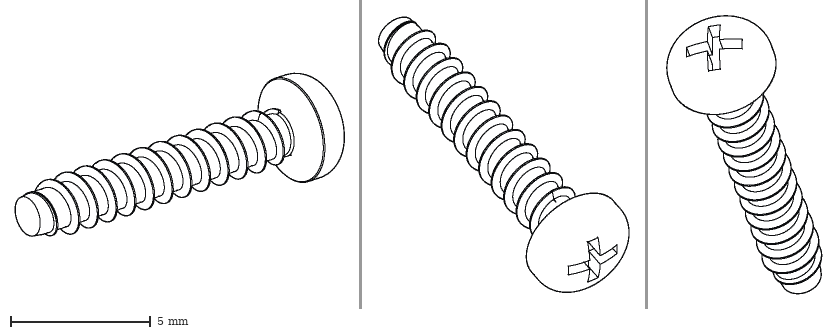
import cadquery as cq
import math


HEAD_RADIUS = 1.95
HEAD_HEIGHT = 1.6
RIM_HEIGHT = 0.54
RIM_CHAMFER = 0.04
CROWN_DROP = 0.39
CROWN_EDGE_RADIUS = 1.59

RECESS_SPAN = 2.05
RECESS_WING_WIDTH = 0.44
RECESS_DEPTH = 0.8

SHANK_LENGTH = 11.975
NECK_RADIUS = 0.85
NECK_FILLET = 0.35
NECK_LENGTH = 0.5
NECK_TAPER_LENGTH = 0.1
CORE_RADIUS = 0.785
TIP_RADIUS = 0.735
TIP_TAPER_LENGTH = 0.4
TIP_DISH_DEPTH = 0.05

PITCH = 0.85
CREST_RADIUS = 1.095
CREST_HALF_WIDTH = 0.03
FLANK_HALF_WIDTH = 0.14
FOOT_REACH = 0.27
FOOT_RISE = 0.03
ROOT_SINK = 0.02

THREAD_START_ANGLE = 90.0
RUN_IN_TURNS = 1.0
RUN_IN_DROP = 0.16
FULL_TURNS = 10.85
RUN_OUT_TURNS = 1.4
RUN_OUT_DROP = 0.33


def screw_body():
    """Revolved body: dished tip, core, neck, underhead fillet and domed head."""
    crown_sphere_radius = (CROWN_EDGE_RADIUS**2 + CROWN_DROP**2) / (2 * CROWN_DROP)
    mid_radius = CROWN_EDGE_RADIUS / 2
    mid_drop = crown_sphere_radius - math.sqrt(crown_sphere_radius**2 - mid_radius**2)
    profile = (
        cq.Workplane("XY")
        .moveTo(0, TIP_DISH_DEPTH - SHANK_LENGTH)
        .lineTo(TIP_RADIUS, -SHANK_LENGTH)
        .lineTo(CORE_RADIUS, TIP_TAPER_LENGTH - SHANK_LENGTH)
        .lineTo(CORE_RADIUS, -NECK_LENGTH - NECK_TAPER_LENGTH)
        .lineTo(NECK_RADIUS, -NECK_LENGTH)
        .lineTo(NECK_RADIUS, -NECK_FILLET)
        .radiusArc((NECK_RADIUS + NECK_FILLET, 0), NECK_FILLET)
        .lineTo(HEAD_RADIUS - RIM_CHAMFER, 0)
        .lineTo(HEAD_RADIUS, RIM_CHAMFER)
        .lineTo(HEAD_RADIUS, RIM_HEIGHT)
        .tangentArcPoint((CROWN_EDGE_RADIUS, HEAD_HEIGHT - CROWN_DROP), relative=False)
        .threePointArc((mid_radius, HEAD_HEIGHT - mid_drop), (0, HEAD_HEIGHT))
        .close()
    )
    return profile.revolve(360, (0, 0, 0), (0, 1, 0))


def cross_recess():
    """Cross-shaped driver recess sunk from the top of the head."""
    wing = cq.Workplane("XY").box(RECESS_SPAN, RECESS_DEPTH, RECESS_WING_WIDTH)
    cross = wing.union(wing.rotate((0, 0, 0), (0, 1, 0), 90))
    return cross.translate((0, HEAD_HEIGHT - RECESS_DEPTH / 2, 0))


def thread_section(first_turn, turns, drop_at_start, drop_at_end):
    """Helical ridge whose crest moves evenly from one drop to the other.

    It begins first_turn turns after the thread start. The ridge is built
    climbing +Z and is then laid along the screw axis, pointing to the tip.
    """
    length = turns * PITCH
    lean = math.atan2(drop_at_start - drop_at_end, length)
    crest = CREST_RADIUS - drop_at_start
    core = CORE_RADIUS - drop_at_start
    root = core - ROOT_SINK
    foot_slope = (FOOT_REACH - FLANK_HALF_WIDTH) / FOOT_RISE
    flank_slope = (FLANK_HALF_WIDTH - CREST_HALF_WIDTH) / (CREST_RADIUS - CORE_RADIUS)

    slant = 1 / math.cos(lean)
    cone_angle = math.degrees(lean) if lean else 360
    helix = cq.Wire.makeHelix(PITCH * slant, length * slant, crest, angle=cone_angle)

    ridge = (
        cq.Workplane("XZ")
        .moveTo(root, -FOOT_REACH - ROOT_SINK * foot_slope)
        .lineTo(core + FOOT_RISE, -FLANK_HALF_WIDTH)
        .lineTo(crest, -CREST_HALF_WIDTH)
        .lineTo(crest, CREST_HALF_WIDTH)
        .lineTo(root, FLANK_HALF_WIDTH + ROOT_SINK * flank_slope)
        .close()
        .sweep(cq.Workplane(helix), isFrenet=True)
    )
    angle = THREAD_START_ANGLE + 360 * first_turn
    turned = ridge.rotate((0, 0, 0), (0, 0, 1), angle)
    laid = turned.rotate((0, 0, 0), (1, 0, 0), 90)
    return laid.translate((0, -NECK_LENGTH - first_turn * PITCH, 0))


def add_thread(body):
    """Join the run-in, the full thread and the run-out to the body."""
    run_in = thread_section(0, RUN_IN_TURNS, RUN_IN_DROP, 0)
    full = thread_section(RUN_IN_TURNS, FULL_TURNS, 0, 0)
    run_out = thread_section(RUN_IN_TURNS + FULL_TURNS, RUN_OUT_TURNS, 0, RUN_OUT_DROP)
    for section in (run_in, full, run_out):
        body = body.union(section)
    return body


result = add_thread(screw_body().cut(cross_recess())).solids()